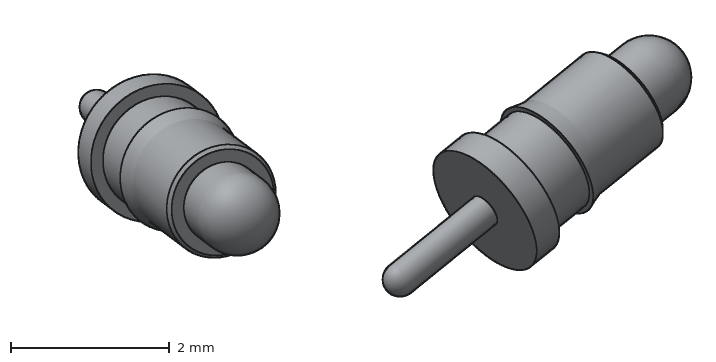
import cadquery as cq

total_length = 5.24

flange_diameter = 1.83
tail_radius = 0.22
flange_radius = flange_diameter / 2
body_radius = 0.75
barb_radius = 0.82
plunger_radius = 0.535

tail_length = 1.75
flange_thickness = 0.41
barb_offset = 0.71
barb_length = 0.25
body_length = 2.08
body_chamfer = 0.045

flange_start = tail_length
flange_end = flange_start + flange_thickness
barb_start = flange_end + barb_offset
body_end = flange_end + body_length


def cylinder(start, end, radius):
    """Cylinder along X between two stations."""
    return cq.Workplane("YZ", origin=(start, 0, 0)).circle(radius).extrude(end - start)


def ball(center, radius):
    """Sphere centred on the X axis."""
    return cq.Workplane("XY", origin=(center, 0, 0)).sphere(radius)


tail = cylinder(tail_radius, flange_start, tail_radius).union(ball(tail_radius, tail_radius))

flange = cylinder(flange_start, flange_end, flange_radius)

body = cylinder(flange_end, body_end, body_radius).faces(">X").chamfer(body_chamfer)

barb = (
    cq.Workplane("XY")
    .moveTo(barb_start, 0)
    .lineTo(barb_start, barb_radius)
    .lineTo(barb_start + barb_length, body_radius)
    .lineTo(barb_start + barb_length, 0)
    .close()
    .revolve(360, (0, 0, 0), (1, 0, 0))
)

plunger_ball_center = total_length - plunger_radius
plunger = cylinder(body_end, plunger_ball_center, plunger_radius)
plunger = plunger.union(ball(plunger_ball_center, plunger_radius))

result = tail.union(flange).union(body).union(barb).union(plunger)